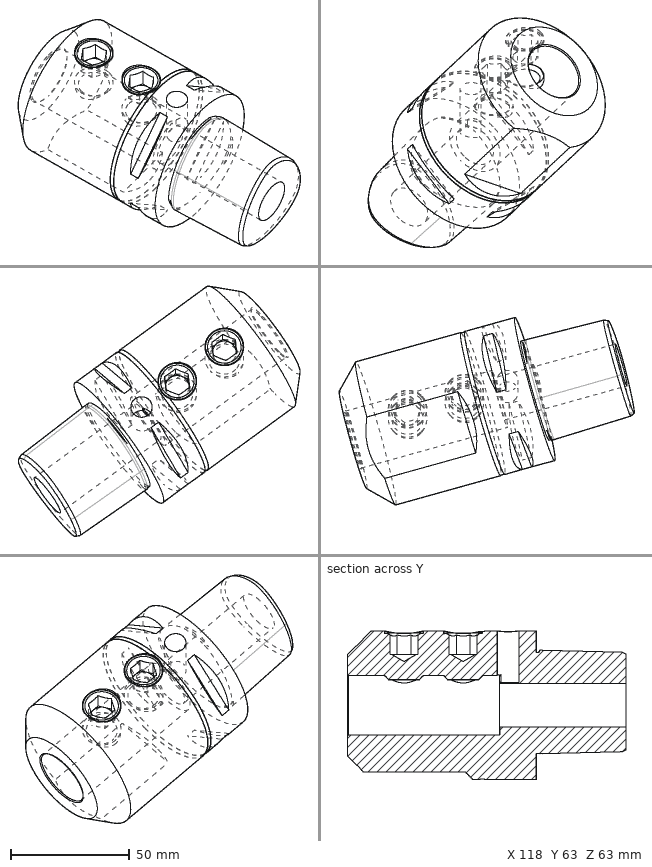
import cadquery as cq
import math

body_diameter = 63.0
body_length = 80.0
shank_length = 38.0
total_length = body_length + shank_length
body_radius = body_diameter / 2
nose_chamfer = 10.0

tool_bore_diameter = 25.0
tool_bore_mouth_diameter = 26.0
tool_bore_depth = 64.5
through_bore_diameter = 18.38

groove_diameter = 62.6
groove_start = 56.2
groove_end = 58.0

flat_height = -28.3
flat_end = 50.0

screw_positions = (24.0, 49.0)
screw_diameter = 16.38
screw_top = 30.5
screw_top_chamfer = 0.25
screw_tip = 10.75
screw_tip_chamfer = 1.6
screw_funnel_diameter = 14.2
hex_across_flats = 10.0
hex_depth = 9.0
socket_cone_angle = 120.0

notch_position = 68.0
notch_floor_distance = 27.9
notch_floor_width = 4.0
notch_flank_angle = 30.0
notch_angles = (45, 135, 225, 315)
orientation_hole_diameter = 9.0
orientation_hole_web = 0.5

shank_mean_diameter = 44.0
shank_lobe = 1.4
shank_taper = 1 / 20
shank_land_length = 1.5
shank_blend_length = 1.0
shank_chamfer_length = 1.7
shank_chamfer_drop = 0.8
lobe_count = 3
lobe_direction = math.pi / 2
curve_steps_per_lobe = 24

relief_radius = 22.5
relief_length = 0.9
relief_end = shank_land_length

cut_margin = 5.0


def revolve_about_x(profile):
    """Revolve an (X, radius) profile about the X axis."""
    return cq.Workplane("XY").polyline(profile).close().revolve(360, (0, 0, 0), (1, 0, 0))


def x_cylinder(diameter, start, end):
    """Cylinder on the X axis."""
    return cq.Workplane("YZ").workplane(offset=start).circle(diameter / 2).extrude(end - start)


def z_cylinder(diameter, x, bottom, top):
    """Vertical cylinder centred at Y = 0."""
    return cq.Workplane("XY", origin=(x, 0, bottom)).circle(diameter / 2).extrude(top - bottom)


def make_body():
    """Chamfered cylinder with the marking groove."""
    groove_radius = groove_diameter / 2
    return revolve_about_x([
        (0, 0),
        (0, body_radius - nose_chamfer),
        (nose_chamfer, body_radius),
        (groove_start, body_radius),
        (groove_start, groove_radius),
        (groove_end, groove_radius),
        (groove_end, body_radius),
        (body_length, body_radius),
        (body_length, 0),
    ])


def lobe_point(angle, inset):
    """Constant-width lobed curve, one lobe toward +Z, as (Y, Z)."""
    phase = lobe_count * (angle - lobe_direction)
    support = shank_mean_diameter / 2 - inset + shank_lobe * math.cos(phase)
    slope = -lobe_count * shank_lobe * math.sin(phase)
    return (
        support * math.cos(angle) - slope * math.sin(angle),
        support * math.sin(angle) + slope * math.cos(angle),
    )


def lobe_section(x, inset):
    """Closed wire at X, split into one curve per lobe at the middle of each flat side."""
    pitch = 2 * math.pi / lobe_count
    first_flat = lobe_direction - pitch / 2
    edges = []
    for lobe in range(lobe_count):
        first = first_flat + lobe * pitch
        points = []
        for step in range(curve_steps_per_lobe + 1):
            y, z = lobe_point(first + pitch * step / curve_steps_per_lobe, inset)
            points.append(cq.Vector(x, y, z))
        edges.append(cq.Edge.makeSpline(points))
    return cq.Wire.assembleEdges(edges)


def make_shank():
    """Lobed shank: straight land, taper and end chamfer, relieved beside the flange."""
    land_end = body_length + shank_land_length
    taper_start = land_end + shank_blend_length
    chamfer_start = total_length - shank_chamfer_length
    taper_inset = (chamfer_start - taper_start) * shank_taper / 2
    stations = [
        (body_length, 0),
        (land_end, 0),
        (taper_start, 0),
        (chamfer_start, taper_inset),
        (total_length, taper_inset + shank_chamfer_drop),
    ]
    wires = [lobe_section(x, inset) for x, inset in stations]
    shank = cq.Workplane(cq.Solid.makeLoft(wires, True))
    lobe_radius = shank_mean_diameter / 2 + shank_lobe
    outside_radius = lobe_radius + cut_margin
    relief = revolve_about_x([
        (body_length, relief_radius),
        (body_length + relief_length, relief_radius),
        (body_length + relief_end, lobe_radius),
        (body_length + relief_end, outside_radius),
        (body_length, outside_radius),
    ])
    return shank.cut(relief)


def make_bores():
    """Tool bore with a chamfered mouth, then the smaller through bore."""
    mouth_chamfer = (tool_bore_mouth_diameter - tool_bore_diameter) / 2
    tool_radius = tool_bore_diameter / 2
    through_radius = through_bore_diameter / 2
    return revolve_about_x([
        (0, 0),
        (0, tool_bore_mouth_diameter / 2),
        (mouth_chamfer, tool_radius),
        (tool_bore_depth, tool_radius),
        (tool_bore_depth, through_radius),
        (total_length, through_radius),
        (total_length, 0),
    ])


def make_underside_flat():
    """Flat with a 45 degree run-out at its rear end."""
    depth = body_radius + cut_margin + flat_height
    return (
        cq.Workplane("XZ")
        .moveTo(0, flat_height)
        .lineTo(flat_end, flat_height)
        .lineTo(flat_end + depth, flat_height - depth)
        .lineTo(0, flat_height - depth)
        .close()
        .extrude(body_radius, both=True)
    )


def make_notch(angle):
    """Straight trapezoidal notch whose floor is a chord plane, turned about X."""
    height = body_radius - notch_floor_distance + cut_margin
    floor_half = notch_floor_width / 2
    top_half = floor_half + height * math.tan(math.radians(notch_flank_angle))
    return (
        cq.Workplane("XZ", origin=(notch_position, 0, notch_floor_distance))
        .polyline([(-floor_half, 0), (floor_half, 0), (top_half, height), (-top_half, height)])
        .close()
        .extrude(body_radius, both=True)
        .rotate((0, 0, 0), (1, 0, 0), angle)
    )


def make_screw(x):
    """Clamping screw filling its threaded hole, chamfered at both ends."""
    return (
        z_cylinder(screw_diameter, x, screw_tip, screw_top)
        .faces(">Z")
        .chamfer(screw_top_chamfer)
        .faces("<Z")
        .chamfer(screw_tip_chamfer)
    )


def socket_cone(x, diameter, top):
    """Cone pointing down from a circle of the given diameter at Z = top."""
    height = diameter / 2 / math.tan(math.radians(socket_cone_angle / 2))
    apex = cq.Vector(x, 0, top - height)
    return cq.Workplane(cq.Solid.makeCone(0, diameter / 2, height, apex, cq.Vector(0, 0, 1)))


def make_screw_socket(x):
    """Countersunk hexagon socket with a drilled cone at its bottom."""
    hex_corners = hex_across_flats / math.cos(math.pi / 6)
    hex_bottom = screw_top - hex_depth
    hexagon = cq.Workplane("XY", origin=(x, 0, hex_bottom)).polygon(6, hex_corners).extrude(hex_depth)
    funnel = socket_cone(x, screw_funnel_diameter, screw_top)
    return hexagon.union(funnel).union(socket_cone(x, hex_across_flats, hex_bottom))


def make_orientation_hole():
    """Radial blind hole whose floor leaves a thin web over both bores."""
    hole = z_cylinder(orientation_hole_diameter, notch_position, 0, body_radius + cut_margin)
    web = orientation_hole_web
    web_over_tool_bore = x_cylinder(tool_bore_diameter + 2 * web, 0, tool_bore_depth + web)
    web_over_through_bore = x_cylinder(through_bore_diameter + 2 * web, 0, body_length)
    return hole.cut(web_over_tool_bore).cut(web_over_through_bore)


result = make_body().union(make_shank()).cut(make_bores()).cut(make_underside_flat())
for angle in notch_angles:
    result = result.cut(make_notch(angle))
for x in screw_positions:
    screw_hole = z_cylinder(screw_diameter, x, 0, body_radius + cut_margin)
    result = result.cut(screw_hole).union(make_screw(x)).cut(make_screw_socket(x))
result = result.cut(make_orientation_hole())